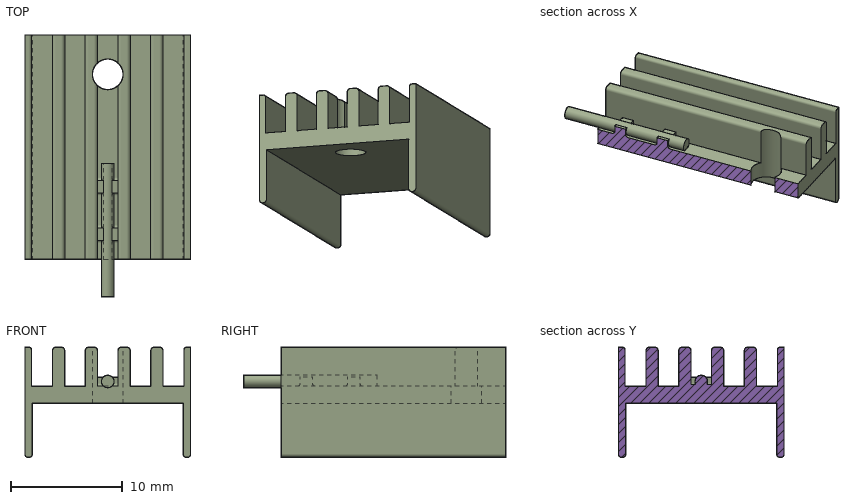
import cadquery as cq

width = 14.84
height = 9.87
overall_length = 23.45
pin_overhang = 3.35
length = overall_length - pin_overhang

base_bottom = 4.83
base_thickness = 1.55
base_top = base_bottom + base_thickness
fin_height = height - base_top
wall_thickness = 0.6
leg_thickness = 0.68
inner_fin_count = 4
fin_thickness = 1.1
fin_pitch = 2.93
fin_tip_radius = 0.3
wall_tip_radius = 0.23
leg_tip_radius = 0.3

hole_diameter = 2.72
hole_end_distance = 3.55

pin_diameter = 1.13
pin_length = 11.9
pin_axis_height = 6.8
pad_height = 0.82
pad_length = 1.1
pad_foot_radius = 0.25
first_pad_center = 2.25
pad_count = 2
pad_spacing = 4.25
channel_width = fin_pitch - fin_thickness


def bar(thickness, center_x, bottom, bar_height):
    """Upright bar along the whole extrusion."""
    return (
        cq.Workplane("XY")
        .box(thickness, length, bar_height, centered=(True, False, False))
        .translate((center_x, 0, bottom))
    )


def make_inner_fin(center_x):
    """Fin with both top edges rounded."""
    fin = bar(fin_thickness, center_x, base_top, fin_height)
    return fin.edges("|Y and >Z").fillet(fin_tip_radius)


def make_side(side):
    """Outer fin above the base and leg below it; side is -1 or 1."""
    wall_x = side * (width - wall_thickness) / 2
    leg_x = side * (width - leg_thickness) / 2
    inner_edge = "<X" if side > 0 else ">X"
    wall = bar(wall_thickness, wall_x, base_top, fin_height)
    wall = wall.faces(">Z").edges(inner_edge).fillet(wall_tip_radius)
    leg = bar(leg_thickness, leg_x, 0, base_bottom)
    leg = leg.edges("|Y and <Z").fillet(leg_tip_radius)
    return wall.union(leg)


def make_pad(center_y):
    """Pad across the middle channel, with concave rounds at its two feet."""
    half_pad = pad_length / 2
    foot = half_pad + pad_foot_radius
    round_mid = pad_foot_radius * (1 - 0.5 ** 0.5)
    return (
        cq.Workplane("YZ")
        .moveTo(-foot, 0)
        .threePointArc((-half_pad - round_mid, round_mid), (-half_pad, pad_foot_radius))
        .lineTo(-half_pad, pad_height)
        .lineTo(half_pad, pad_height)
        .lineTo(half_pad, pad_foot_radius)
        .threePointArc((half_pad + round_mid, round_mid), (foot, 0))
        .close()
        .extrude(channel_width / 2, both=True)
        .translate((0, center_y, base_top))
    )


body = bar(width, 0, base_bottom, base_thickness)
for index in range(inner_fin_count):
    body = body.union(make_inner_fin((index - (inner_fin_count - 1) / 2) * fin_pitch))
for side in (-1, 1):
    body = body.union(make_side(side))

hole = (
    cq.Workplane("XY")
    .center(0, length - hole_end_distance)
    .circle(hole_diameter / 2)
    .extrude(height)
)
body = body.cut(hole)

for index in range(pad_count):
    body = body.union(make_pad(first_pad_center + index * pad_spacing))
pin = (
    cq.Workplane("XZ", origin=(0, -pin_overhang, pin_axis_height))
    .circle(pin_diameter / 2)
    .extrude(-pin_length)
)

result = body.union(pin)